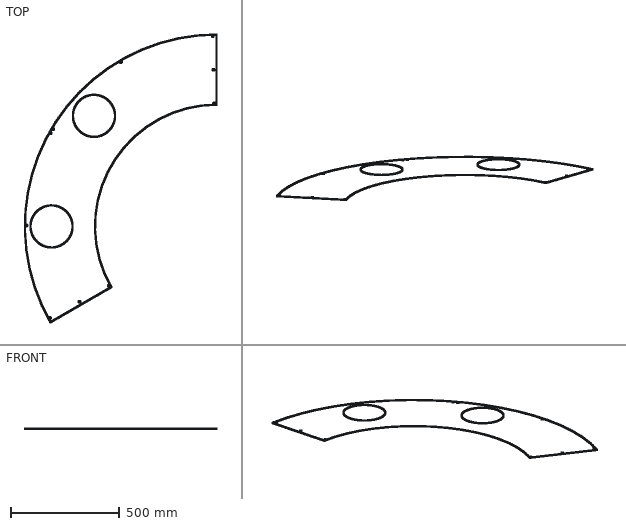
import cadquery as cq
import math

thickness = 1.47
outer_radius = 885.39
inner_radius = 561.0
start_angle = 90.0
end_angle = 210.0
middle_angle = (start_angle + end_angle) / 2
end_setback = 0.49

opening_diameter = 193.1
opening_pitch_radius = 762.0
opening_angles = (138.0, 180.0)

fastener_diameter = 6.0
rim_margin = 7.5
middle_angle_margin = 0.73
end_angle_margin = 1.24
outer_hole_radius = outer_radius - rim_margin
inner_hole_radius = 567.0
middle_hole_radius = 722.4


def polar(radius, angle):
    """Point at the given radius and angle (degrees) from the ring axis."""
    return (
        radius * math.cos(math.radians(angle)),
        radius * math.sin(math.radians(angle)),
    )


def arc_points(radius):
    """Start, middle and end of an arc whose ends are set back from the radial planes."""
    setback_angle = math.degrees(math.asin(end_setback / radius))
    return (
        polar(radius, start_angle + setback_angle),
        polar(radius, middle_angle),
        polar(radius, end_angle - setback_angle),
    )


def ring_sector():
    """Flat plate bounded by two concentric arcs and two straight ends."""
    outer_start, outer_middle, outer_end = arc_points(outer_radius)
    inner_start, inner_middle, inner_end = arc_points(inner_radius)
    return (
        cq.Workplane("XY")
        .moveTo(*inner_start)
        .lineTo(*outer_start)
        .threePointArc(outer_middle, outer_end)
        .lineTo(*inner_end)
        .threePointArc(inner_middle, inner_start)
        .close()
        .extrude(thickness)
    )


def fastener_points():
    """Hole centres: three on the outer rim of each half, two more on each straight end."""
    first_angle = start_angle + end_angle_margin
    last_angle = end_angle - end_angle_margin
    half_spans = (
        (first_angle, middle_angle - middle_angle_margin),
        (middle_angle + middle_angle_margin, last_angle),
    )
    points = []
    for low_angle, high_angle in half_spans:
        rim_angles = (low_angle, (low_angle + high_angle) / 2, high_angle)
        points += [polar(outer_hole_radius, angle) for angle in rim_angles]
    for angle in (first_angle, last_angle):
        points += [polar(radius, angle) for radius in (middle_hole_radius, inner_hole_radius)]
    return points


def through_holes(points, diameter):
    """Cylinders that pass through the plate at the given centres."""
    return cq.Workplane("XY").pushPoints(points).circle(diameter / 2).extrude(thickness)


opening_points = [polar(opening_pitch_radius, angle) for angle in opening_angles]

result = (
    ring_sector()
    .cut(through_holes(opening_points, opening_diameter))
    .cut(through_holes(fastener_points(), fastener_diameter))
)